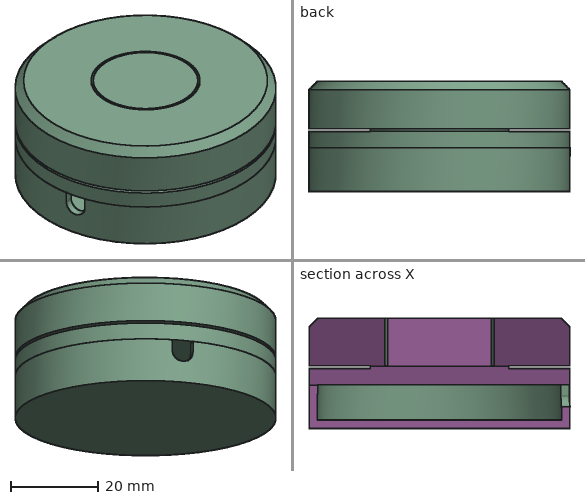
import cadquery as cq

outer_diameter = 60.0
total_height = 25.4

base_height = 10.0
base_wall = 2.0
base_floor = base_wall
slot_width = 5.0
slot_depth = 5.0

plate_thickness = 3.8
boss_diameter = 31.9
boss_height = 0.6

cap_chamfer = 2.0
cap_bore_diameter = 25.0

button_diameter = 24.0

plate_bottom = base_height
plate_top = plate_bottom + plate_thickness
cap_bottom = plate_top + boss_height
cap_height = total_height - cap_bottom


def cylinder(diameter, bottom, height):
    """Upright cylinder on the Z axis."""
    return cq.Workplane("XY").workplane(offset=bottom).circle(diameter / 2).extrude(height)


def make_cable_slot():
    """Round-bottomed slot, open at the base rim, reaching from the axis out through the -Y wall."""
    radius = slot_width / 2
    slot_bottom = base_height - slot_depth
    arc_center = slot_bottom + radius
    return (
        cq.Workplane("XZ")
        .moveTo(-radius, base_height)
        .lineTo(-radius, arc_center)
        .threePointArc((0, slot_bottom), (radius, arc_center))
        .lineTo(radius, base_height)
        .close()
        .extrude(outer_diameter / 2)
    )


def make_base():
    cavity = cylinder(outer_diameter - 2 * base_wall, base_floor, base_height - base_floor)
    return cylinder(outer_diameter, 0, base_height).cut(cavity).cut(make_cable_slot())


def make_plate():
    plate = cylinder(outer_diameter, plate_bottom, plate_thickness)
    return plate.union(cylinder(boss_diameter, plate_top, boss_height))


def make_cap():
    blank = cylinder(outer_diameter, cap_bottom, cap_height).faces(">Z").chamfer(cap_chamfer)
    return blank.cut(cylinder(cap_bore_diameter, cap_bottom, cap_height))


def make_button():
    return cylinder(button_diameter, cap_bottom, cap_height)


base = make_base()
plate = make_plate()
cap = make_cap()
button = make_button()

result = cq.Compound.makeCompound([base.val(), plate.val(), cap.val(), button.val()])